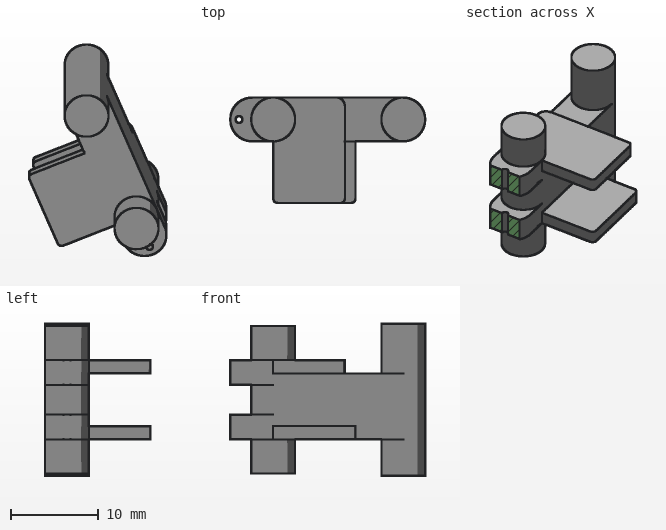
import cadquery as cq

pin_diameter = 5.0
pin_radius = pin_diameter / 2
overall_length = 22.19
hinge_pin_height = 16.8
end_pin_height = 17.3

body_height = 9.0
lug_height = 2.8
nose_center_x = -2.39
nose_tip_x = nose_center_x - pin_radius
end_pin_x = overall_length + nose_tip_x - pin_radius

plate_thickness = 1.5
plate_reach = 7.0
plate_front_y = -pin_radius - plate_reach
upper_plate_length = 8.15
lower_plate_length = 9.37
plate_corner_radius = 0.5
back_corner_radius = 1.0

lug_hole_diameter = 0.75
lug_hole_edge_distance = 1.0

mid_z = body_height / 2
shoulder_z = body_height - plate_thickness


def vertical_pin(x, height):
    """Round pin centred on the body's mid height."""
    return (
        cq.Workplane("XY", origin=(x, 0, mid_z - height / 2))
        .circle(pin_radius)
        .extrude(height)
    )


def nosed_bar(end_x, height):
    """Straight bar with a half-round -X nose and a square +X end."""
    return (
        cq.Workplane("XY")
        .moveTo(end_x, -pin_radius)
        .lineTo(nose_center_x, -pin_radius)
        .threePointArc((nose_tip_x, 0), (nose_center_x, pin_radius))
        .lineTo(end_x, pin_radius)
        .close()
        .extrude(height)
    )


def plate(length, bottom_z):
    """Flat plate from the hinge axis to the given length, rounded at its front corners."""
    return (
        cq.Workplane("XY", origin=(0, plate_front_y, bottom_z))
        .rect(length, pin_radius - plate_front_y, centered=False)
        .extrude(plate_thickness)
        .edges("|Z and <Y")
        .fillet(plate_corner_radius)
    )


def link_body():
    """Long bar up to the shoulder, and a full-height bar that ends at the hinge axis."""
    return nosed_bar(end_pin_x, shoulder_z).union(nosed_bar(0, body_height))


def lug_gap():
    """Space between the two lugs, open at the nose and ending at the hinge axis."""
    return (
        cq.Workplane("XY", origin=(nose_tip_x, -pin_radius, lug_height))
        .rect(-nose_tip_x, pin_diameter, centered=False)
        .extrude(body_height - 2 * lug_height)
    )


def lug_hole():
    """Vertical hole through both lugs near the nose tip."""
    return (
        cq.Workplane("XY", origin=(nose_tip_x + lug_hole_edge_distance, 0, 0))
        .circle(lug_hole_diameter / 2)
        .extrude(body_height)
    )


upper_plate = plate(upper_plate_length, shoulder_z).edges("|Z and >X and >Y").fillet(back_corner_radius)
lower_plate = plate(lower_plate_length, 0)

result = link_body().cut(lug_gap()).cut(lug_hole())
result = result.union(upper_plate).union(lower_plate)
result = result.union(vertical_pin(0, hinge_pin_height)).union(vertical_pin(end_pin_x, end_pin_height))